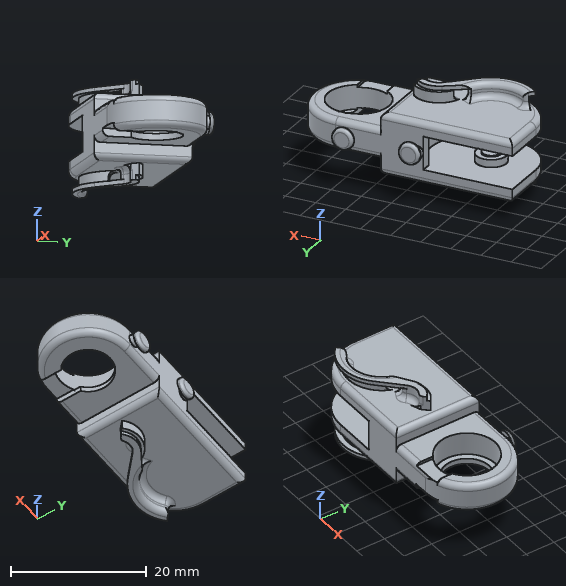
import cadquery as cq
import math

LENGTH = 36.85
WIDTH = 15.0
OVERALL_HEIGHT = 15.0
END_RADIUS = WIDTH / 2
EDGE_ROUND = 1.0

BLOCK_LENGTH = 21.8
BLOCK_HEIGHT = 10.05
FORK_GAP = 5.4
FORK_DEPTH = 14.78
POCKET_RADIUS = 7.5
POCKET_X = 9.85

BOSS_X = 7.35
BOSS_DIAMETER = 4.95
BOSS_TIP_DIAMETER = 2.95
LOWER_BOSS_HEIGHT = 1.25
LOWER_TIP_HEIGHT = 0.22
UPPER_BOSS_HEIGHT = 0.2
UPPER_TIP_HEIGHT = 0.8

RING_X = LENGTH - END_RADIUS
RING_HEIGHT = 4.97
RING_ROOT_X = 18.42
BORE_DIAMETER = 10.05
LEDGE_DIAMETER = 8.0
LEDGE_THICKNESS = 1.0
SLOT_WIDTH = 4.95
TOP_SLOT_DEPTH = 0.45
BOTTOM_SLOT_DEPTH = 1.18

PIN_STEM_DIAMETER = 2.0
PIN_STEM_LENGTH = 0.75
PIN_HEAD_DIAMETER = 3.5
PIN_HEAD_THICKNESS = 0.77
PIN_HEAD_ROUND = 0.5
PIN_STEM_OFFSET = (PIN_HEAD_DIAMETER - PIN_STEM_DIAMETER) / 2

GUIDE_HEIGHT = (OVERALL_HEIGHT - BLOCK_HEIGHT) / 2
LIP_THICKNESS = 0.7
POST_HEIGHT = GUIDE_HEIGHT - LIP_THICKNESS
GUIDE_ROUND = 1.0
GUIDE_CORNER_ROUND = 0.7
BEND_X = END_RADIUS
BEND_Y = 0.0
BEND_INNER = 5.25
BEND_POST_OUTER = 6.0
BEND_LIP_OUTER = 7.0
BEND_START_ANGLE = 225
BEND_END_ANGLE = 330
TAIL_X = 17.58
TAIL_Y = -3.1
TAIL_INNER = 2.2
TAIL_POST_OUTER = 3.98
TAIL_LIP_OUTER = 3.43
TAIL_START_ANGLE = 150
TAIL_END_ANGLE = 45
TAIL_FOOT_STOP_RADIUS = 2.5
TAIL_FOOT_STOP_ANGLE = 81


def on_bend(radius, angle):
    """Point at a radius and an angle in degrees about the centre of the large bend."""
    a = math.radians(angle)
    return (BEND_X + radius * math.cos(a), BEND_Y + radius * math.sin(a))


def on_tail(radius, angle):
    """Point at a radius and an angle in degrees about the centre of the small bend."""
    a = math.radians(angle)
    return (TAIL_X + radius * math.cos(a), TAIL_Y + radius * math.sin(a))


BEND_TIP = on_bend(BEND_INNER, BEND_START_ANGLE)
TAIL_START_TIP = on_tail(TAIL_INNER, TAIL_START_ANGLE)
TAIL_END_TIP = on_tail(TAIL_INNER, TAIL_END_ANGLE)


def make_block():
    """Fork block with one rounded corner and a cylindrical pocket at the root of the fork."""
    block = (
        cq.Workplane("XY")
        .box(BLOCK_LENGTH, WIDTH, BLOCK_HEIGHT, centered=(False, True, True))
        .edges("|Z and <X and <Y")
        .fillet(END_RADIUS)
        .faces("<Z or >Z")
        .edges()
        .fillet(EDGE_ROUND)
    )
    gap = cq.Workplane("XY").box(FORK_DEPTH, WIDTH, FORK_GAP, centered=(False, True, True))
    pocket = cq.Workplane("XY").center(POCKET_X, 0).circle(POCKET_RADIUS).extrude(FORK_GAP / 2, both=True)
    return block.cut(gap).cut(pocket)


def ring_outline():
    return (
        cq.Workplane("XY")
        .workplane(offset=-RING_HEIGHT / 2)
        .moveTo(RING_ROOT_X, -END_RADIUS)
        .lineTo(RING_X, -END_RADIUS)
        .threePointArc((LENGTH, 0), (RING_X, END_RADIUS))
        .lineTo(RING_ROOT_X, END_RADIUS)
        .close()
        .extrude(RING_HEIGHT)
    )


def slot_land():
    """Part beside the slot where the rounding of the straight edge runs on past the start of the arc."""
    land_length = SLOT_WIDTH / 2
    straight_bar = (
        cq.Workplane("XY")
        .box(land_length, WIDTH, RING_HEIGHT, centered=(False, True, True))
        .edges("|X")
        .fillet(EDGE_ROUND)
        .translate((RING_X, 0, 0))
    )
    near_half = (
        cq.Workplane("XY")
        .box(LENGTH, END_RADIUS, RING_HEIGHT)
        .translate((RING_X, -END_RADIUS / 2, 0))
    )
    return ring_outline().intersect(straight_bar).intersect(near_half)


def make_slot(open_z, depth):
    """Slot from the bore out through the -Y side; a negative depth runs downward."""
    return (
        cq.Workplane("XY")
        .workplane(offset=open_z)
        .center(RING_X, -END_RADIUS / 2)
        .rect(SLOT_WIDTH, END_RADIUS)
        .extrude(depth)
    )


def make_ring():
    """Ring with a bore open at the top, a ledge at its floor, and a slot in each flat face."""
    top = RING_HEIGHT / 2
    rounded = ring_outline().faces("<Z or >Z").edges("not <X").fillet(EDGE_ROUND)
    at_floor = cq.Workplane("XY").workplane(offset=-top).center(RING_X, 0)
    hole = at_floor.circle(LEDGE_DIAMETER / 2).extrude(RING_HEIGHT)
    bore = at_floor.circle(BORE_DIAMETER / 2).extrude(RING_HEIGHT).translate((0, 0, LEDGE_THICKNESS))
    ring = rounded.union(slot_land()).cut(hole).cut(bore)
    return ring.cut(make_slot(top, -TOP_SLOT_DEPTH)).cut(make_slot(-top, BOTTOM_SLOT_DEPTH))


def make_boss(base_z, direction, boss_height, tip_height):
    """Stepped boss rising from a fork arm, upward for direction 1 and downward for -1."""
    at_base = cq.Workplane("XY").workplane(offset=base_z).center(BOSS_X, 0)
    boss = at_base.circle(BOSS_DIAMETER / 2).extrude(direction * boss_height)
    tip = at_base.circle(BOSS_TIP_DIAMETER / 2).extrude(direction * (boss_height + tip_height))
    return boss.union(tip)


def sector(point_at, inner, outer, start_angle, end_angle, height):
    """Arc-shaped wall between two radii about the centre that point_at measures from."""
    middle = (start_angle + end_angle) / 2
    return (
        cq.Workplane("XY")
        .moveTo(*point_at(inner, start_angle))
        .lineTo(*point_at(outer, start_angle))
        .threePointArc(point_at(outer, middle), point_at(outer, end_angle))
        .lineTo(*point_at(inner, end_angle))
        .threePointArc(point_at(inner, middle), point_at(inner, start_angle))
        .close()
        .extrude(height)
    )


def round_corner(wall, point):
    """Round the upright edge of a wall that stands over the given point."""
    edge = wall.edges("|Z").edges(cq.selectors.NearestToPointSelector((*point, GUIDE_HEIGHT / 2)))
    return edge.fillet(GUIDE_CORNER_ROUND)


def bend_post():
    post = sector(on_bend, BEND_INNER, BEND_POST_OUTER, BEND_START_ANGLE, BEND_END_ANGLE, GUIDE_HEIGHT)
    return round_corner(post, BEND_TIP)


def tail_post():
    post = sector(on_tail, TAIL_INNER, TAIL_POST_OUTER, TAIL_START_ANGLE, TAIL_END_ANGLE, POST_HEIGHT)
    return round_corner(round_corner(post, TAIL_START_TIP), TAIL_END_TIP)


def lip():
    """S-shaped top plate: two arcs joined by straight tangent edges, bridging the posts."""
    centre_distance = math.hypot(TAIL_X - BEND_X, TAIL_Y - BEND_Y)
    centre_angle = math.degrees(math.atan2(TAIL_Y - BEND_Y, TAIL_X - BEND_X))
    front_slope = centre_angle + math.degrees(math.asin((BEND_LIP_OUTER + TAIL_INNER) / centre_distance))
    corner = on_bend(BEND_INNER, BEND_END_ANGLE)
    corner_distance = math.hypot(TAIL_X - corner[0], TAIL_Y - corner[1])
    corner_angle = math.degrees(math.atan2(TAIL_Y - corner[1], TAIL_X - corner[0]))
    back_slope = corner_angle + math.degrees(math.asin(TAIL_LIP_OUTER / corner_distance))
    plate = (
        cq.Workplane("XY")
        .workplane(offset=POST_HEIGHT)
        .moveTo(*BEND_TIP)
        .lineTo(*on_bend(BEND_LIP_OUTER, BEND_START_ANGLE))
        .threePointArc(on_bend(BEND_LIP_OUTER, 270), on_bend(BEND_LIP_OUTER, front_slope - 90))
        .lineTo(*on_tail(TAIL_INNER, front_slope + 90))
        .threePointArc(on_tail(TAIL_INNER, 90), TAIL_END_TIP)
        .lineTo(*on_tail(TAIL_LIP_OUTER, TAIL_END_ANGLE))
        .threePointArc(on_tail(TAIL_LIP_OUTER, 90), on_tail(TAIL_LIP_OUTER, back_slope + 90))
        .lineTo(*corner)
        .threePointArc(on_bend(BEND_INNER, 270), BEND_TIP)
        .close()
        .extrude(LIP_THICKNESS)
    )
    return round_corner(round_corner(plate, BEND_TIP), TAIL_END_TIP)


def lip_round_cutter():
    """Revolved cutter that rounds the top inner edge of the large bend."""
    low = GUIDE_HEIGHT - GUIDE_ROUND
    clear_radius = BEND_INNER - 0.37
    sag = GUIDE_ROUND * (1 - math.sqrt(0.5))
    return (
        cq.Workplane("XZ")
        .moveTo(BEND_INNER, low)
        .threePointArc((BEND_INNER + sag, GUIDE_HEIGHT - sag), (BEND_INNER + GUIDE_ROUND, GUIDE_HEIGHT))
        .lineTo(clear_radius, GUIDE_HEIGHT)
        .lineTo(clear_radius, low)
        .close()
        .revolve(360, (0, 0, 0), (0, 1, 0))
        .translate((BEND_X, BEND_Y, 0))
    )


def add_foot(post, edge_points):
    """Blend a post into the surface it stands on along the base edges that pass through the points."""
    slab = cq.Workplane("XY").box(2 * LENGTH, 2 * LENGTH, 2 * GUIDE_ROUND).translate((0, 0, -GUIDE_ROUND))
    standing = slab.union(post)
    tolerance = 0.005
    markers = [cq.Vertex.makeVertex(x, y, 0) for x, y in edge_points]
    foot_edges = [
        edge
        for edge in standing.edges().vals()
        if any(edge.distance(marker) < tolerance for marker in markers)
    ]
    return standing.newObject(foot_edges).fillet(GUIDE_ROUND).cut(slab)


def tail_foot_trim():
    """Region past the end of the tail, into which its foot does not run."""
    far = LENGTH / 4
    return (
        cq.Workplane("XY")
        .polyline([
            on_tail(TAIL_INNER - GUIDE_ROUND, TAIL_FOOT_STOP_ANGLE),
            on_tail(TAIL_FOOT_STOP_RADIUS, TAIL_END_ANGLE),
            on_tail(far, TAIL_END_ANGLE),
            on_tail(far, TAIL_END_ANGLE - 90),
        ])
        .close()
        .extrude(GUIDE_HEIGHT)
    )


def make_guide():
    """Complete cord guide standing on the top face of the block."""
    bend_end_middle = on_bend((BEND_INNER + BEND_POST_OUTER) / 2, BEND_END_ANGLE)
    bend = add_foot(bend_post(), [on_bend(BEND_INNER, 270), bend_end_middle])
    tail = add_foot(tail_post(), [on_tail(TAIL_INNER, 90)]).cut(tail_foot_trim())
    guide = bend.union(lip()).union(tail).cut(lip_round_cutter())
    return guide.translate((0, 0, BLOCK_HEIGHT / 2))


def make_housing():
    guide = make_guide()
    housing = make_block().union(make_ring())
    housing = housing.union(guide).union(guide.mirror("XY"))
    lower = make_boss(-FORK_GAP / 2, 1, LOWER_BOSS_HEIGHT, LOWER_TIP_HEIGHT)
    upper = make_boss(FORK_GAP / 2, -1, UPPER_BOSS_HEIGHT, UPPER_TIP_HEIGHT)
    return housing.union(lower).union(upper)


def make_side_pin(stem_x, head_x):
    """Pin on the +Y side whose round head sits off centre on its stem."""
    stem = (
        cq.Workplane("XZ")
        .workplane(offset=-WIDTH / 2)
        .center(stem_x, 0)
        .circle(PIN_STEM_DIAMETER / 2)
        .extrude(-PIN_STEM_LENGTH)
    )
    head = (
        cq.Workplane("XZ")
        .workplane(offset=-WIDTH / 2 - PIN_STEM_LENGTH)
        .center(head_x, 0)
        .circle(PIN_HEAD_DIAMETER / 2)
        .extrude(-PIN_HEAD_THICKNESS)
        .faces(">Y")
        .edges()
        .fillet(PIN_HEAD_ROUND)
    )
    return stem.union(head)


housing = make_housing()

side_pins = []
for flush_x, inward in ((FORK_DEPTH, 1), (RING_X, -1)):
    stem_x = flush_x + inward * PIN_STEM_DIAMETER / 2
    side_pins.append(make_side_pin(stem_x, stem_x + inward * PIN_STEM_OFFSET))

result = cq.Compound.makeCompound([housing.val(), *[pin.val() for pin in side_pins]])